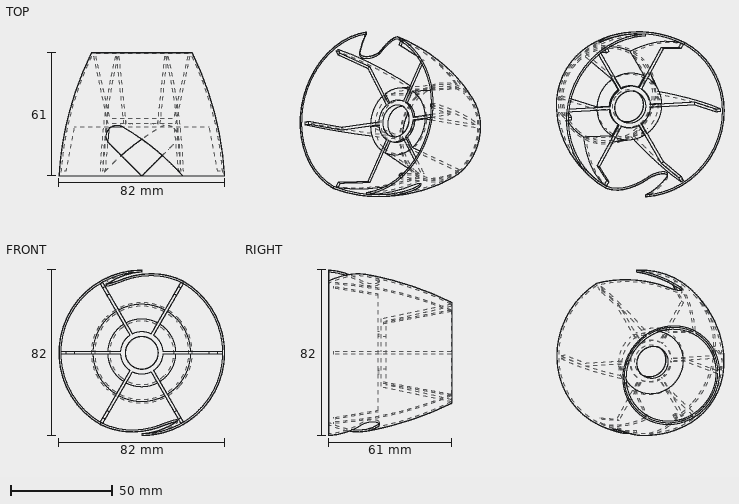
import cadquery as cq
import math

length = 61.0
rim_radius = 41.0
middle_radius = 36.25
end_radius = 24.9
wall = 1.0

hub_face_y = 24.35
hub_height = 1.6
hub_radius = 10.5
bore_radius = 8.0
floor_thickness = 2.5
cup_floor_radius = 16.8
cup_end_radius = 24.2

rib_count = 6
rib_thickness = 1.4
rib_step_radius = 33.3
rib_tip_radius = 37.5
rib_tip_y = 2.5

slot_rim_width = 20.3
slot_edge_middle = (0, 18.2)
slot_edge_end = (-8.85, 23.95)
slot_nose_middle = (-16.0, 23.5)
slot_straight_length = 23.9
slot_straight_side = slot_straight_length / math.sqrt(2)
slot_inner_z = 32.0

cup_floor_y = hub_face_y + hub_height
cavity_floor_y = cup_floor_y + floor_thickness


def revolve_about_y(profile):
    return profile.close().revolve(360, (0, 0, 0), (0, 1, 0))


def curved_solid(inset):
    """Solid of revolution inside the outer curve, reduced in radius by inset."""
    profile = (
        cq.Workplane("XY")
        .lineTo(rim_radius - inset, 0)
        .threePointArc((middle_radius - inset, length / 2), (end_radius - inset, length))
        .lineTo(0, length)
    )
    return revolve_about_y(profile)


def make_cup():
    """Conical cup whose cavity opens at the narrow end of the shell."""
    profile = (
        cq.Workplane("XY")
        .moveTo(bore_radius, hub_face_y)
        .lineTo(hub_radius, hub_face_y)
        .lineTo(hub_radius, cup_floor_y)
        .lineTo(cup_floor_radius, cup_floor_y)
        .lineTo(cup_end_radius, length)
        .lineTo(cup_end_radius - wall, length)
        .lineTo(cup_floor_radius - wall, cavity_floor_y)
        .lineTo(bore_radius, cavity_floor_y)
    )
    return revolve_about_y(profile)


def make_cup_envelope():
    """Cup outline filled solid, used to keep the ribs out of the cavity."""
    profile = (
        cq.Workplane("XY")
        .moveTo(0, cup_floor_y)
        .lineTo(cup_floor_radius, cup_floor_y)
        .lineTo(cup_end_radius, length)
        .lineTo(0, length)
    )
    return revolve_about_y(profile)


def make_ribs():
    rib_start = (bore_radius + hub_radius) / 2
    rib = (
        cq.Workplane("XY")
        .moveTo(rib_start, hub_face_y)
        .lineTo(rib_step_radius, hub_face_y)
        .lineTo(rib_tip_radius, rib_tip_y)
        .lineTo(rim_radius, rib_tip_y)
        .lineTo(rim_radius, length)
        .lineTo(rib_start, length)
        .close()
        .extrude(rib_thickness / 2, both=True)
    )
    ribs = rib
    for index in range(1, rib_count):
        ribs = ribs.union(rib.rotate((0, 0, 0), (0, 1, 0), index * 360 / rib_count))
    return ribs.intersect(curved_solid(wall / 2)).cut(make_cup_envelope())


def make_slot():
    return (
        cq.Workplane("XY", origin=(0, 0, slot_inner_z))
        .lineTo(slot_rim_width, 0)
        .threePointArc(slot_edge_middle, slot_edge_end)
        .threePointArc(slot_nose_middle, (-slot_straight_side, slot_straight_side))
        .close()
        .extrude(rim_radius)
    )


shell = curved_solid(0).cut(curved_solid(wall))
result = shell.union(make_cup()).union(make_ribs())

slot = make_slot()
for angle in (0, 180):
    result = result.cut(slot.rotate((0, 0, 0), (0, 1, 0), angle))